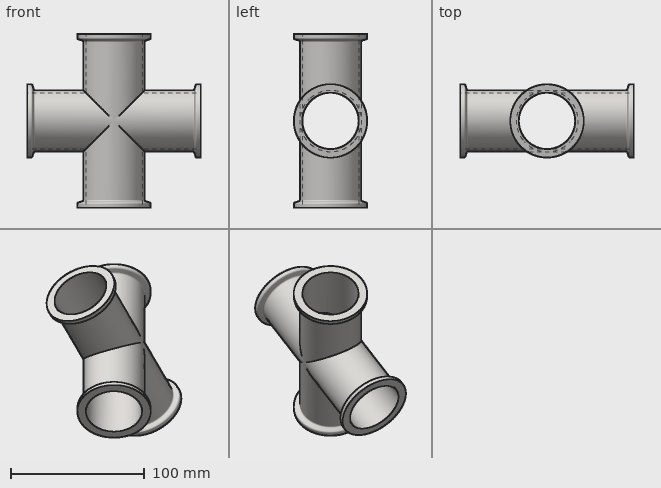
import cadquery as cq
import math

overall_length = 130.0
bore_diameter = 42.0
tube_diameter = 46.0
flange_diameter = 55.0

rim_land = 2.9
taper_angle = 17.0
rim_radius = 1.3
root_radius = 0.9

half_length = overall_length / 2
tube_radius = tube_diameter / 2
flange_radius = flange_diameter / 2

turn_angle = math.radians(90 - taper_angle)
rim_depth = rim_land + rim_radius * math.tan(turn_angle / 2)
taper_depth = (flange_radius - tube_radius) * math.tan(math.radians(taper_angle))
root_depth = rim_depth + taper_depth


def flanged_branch():
    """Solid branch from the centre up +Z, with its flange at the end."""
    profile = [
        (0, 0),
        (tube_radius, 0),
        (tube_radius, half_length - root_depth),
        (flange_radius, half_length - rim_depth),
        (flange_radius, half_length),
        (0, half_length),
    ]
    branch = cq.Workplane("XZ").polyline(profile).close().revolve(360, (0, 0), (0, 1))
    rim_edge = cq.selectors.NearestToPointSelector((0, 0, half_length - rim_depth))
    root_edge = cq.selectors.NearestToPointSelector((0, 0, half_length - root_depth))
    branch = branch.edges("%CIRCLE").edges(rim_edge).fillet(rim_radius)
    return branch.edges("%CIRCLE").edges(root_edge).fillet(root_radius)


def bore(plane):
    """Through bore along the normal of the given plane."""
    return cq.Workplane(plane).circle(bore_diameter / 2).extrude(half_length, both=True)


branch = flanged_branch()
body = branch
for angle in (90, 180, 270):
    body = body.union(branch.rotate((0, 0, 0), (0, 1, 0), angle))

result = body.cut(bore("XY")).cut(bore("YZ"))